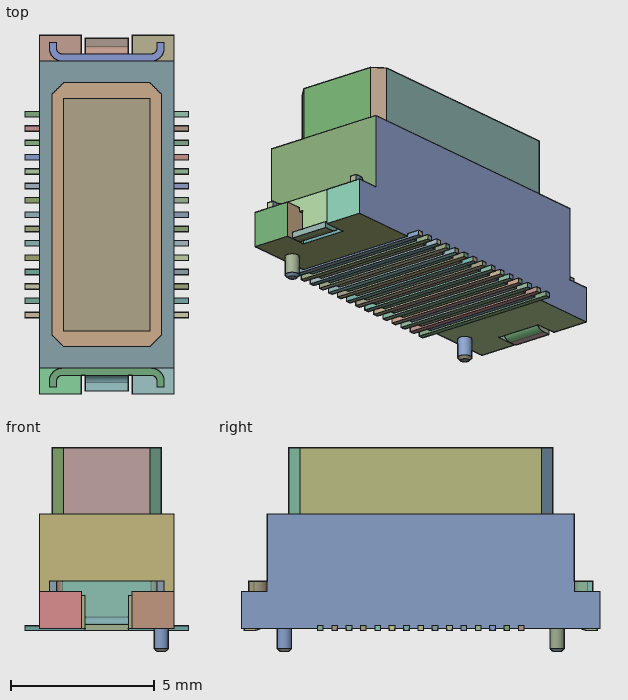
import cadquery as cq
import math

body_width = 4.7
body_length = 10.7
body_height = 4.0
flange_length = 12.5
flange_height = 1.3

shroud_width = 3.8
shroud_length = 9.2
shroud_height = 2.3
shroud_bevel = 0.4
pocket_width = 3.0
pocket_length = 8.1
pocket_depth = 2.5

lead_count = 15
lead_pitch = 0.5
lead_width = 0.2
lead_thickness = 0.18
lead_span = 5.7
standoff = 0.08

pin_diameter = 0.5
pin_length = 0.8
pin_tip_height = 0.1
pin_tip_inset = 0.1
pin_x = 1.9
pin_y = 4.75

notch_width = 1.78
clip_face_y = 5.6
clip_span = 4.0
clip_bottom = 1.15
clip_top = 1.65
arm_end_y = 6.0
arm_thickness = 0.25
arm_inner_radius = 0.2
foot_width = 1.5
foot_end_y = 6.15
foot_inner_radius = 0.25
foot_thickness = 0.22
notch_wall_y = clip_face_y - foot_thickness


def block(width, length, height, bottom=0.0):
    """Box centred on X and Y, standing on the given level."""
    return (
        cq.Workplane("XY")
        .workplane(offset=bottom)
        .box(width, length, height, centered=(True, True, False))
    )


def make_housing():
    flange = block(body_width, flange_length, flange_height)
    notch_depth = flange_length / 2 - notch_wall_y
    for side in (-1, 1):
        notch_y = side * (notch_wall_y + notch_depth / 2)
        notch = block(notch_width, notch_depth, flange_height)
        flange = flange.cut(notch.translate((0, notch_y, 0)))
    shroud = block(shroud_width, shroud_length, shroud_height, body_height)
    shroud = shroud.edges("|Z").chamfer(shroud_bevel)
    pocket_floor = body_height + shroud_height - pocket_depth
    pocket = block(pocket_width, pocket_length, pocket_depth, pocket_floor)
    body = block(body_width, body_length, body_height)
    return flange.union(body).union(shroud).cut(pocket)


def make_leads():
    lead = block(lead_span, lead_width, lead_thickness, -standoff)
    first_y = -lead_pitch * (lead_count - 1) / 2
    leads = lead.translate((0, first_y, 0))
    for index in range(1, lead_count):
        leads = leads.union(lead.translate((0, first_y + index * lead_pitch, 0)))
    return leads


def make_pin(y):
    radius = pin_diameter / 2
    tip_radius = radius - pin_tip_inset
    profile = (
        cq.Workplane("XZ")
        .lineTo(radius, 0)
        .lineTo(radius, pin_tip_height - pin_length)
        .lineTo(tip_radius, -pin_length)
        .lineTo(0, -pin_length)
        .close()
    )
    return profile.revolve(360, (0, 0, 0), (0, 1, 0)).translate((pin_x, y, 0))


def make_clip_bar():
    """Bar across the +Y end whose arms curve outward, towards +Y."""
    outer_x = clip_span / 2
    inner_x = outer_x - arm_thickness
    back_y = clip_face_y - arm_thickness
    outer_radius = arm_inner_radius + arm_thickness
    bend_x = outer_x - outer_radius
    bend_y = clip_face_y + arm_inner_radius
    diagonal = math.sqrt(0.5)
    outer_mid_x = bend_x + outer_radius * diagonal
    outer_mid_y = bend_y - outer_radius * diagonal
    inner_mid_x = bend_x + arm_inner_radius * diagonal
    inner_mid_y = bend_y - arm_inner_radius * diagonal
    return (
        cq.Workplane("XY")
        .workplane(offset=clip_bottom)
        .moveTo(-bend_x, back_y)
        .lineTo(bend_x, back_y)
        .threePointArc((outer_mid_x, outer_mid_y), (outer_x, bend_y))
        .lineTo(outer_x, arm_end_y)
        .lineTo(inner_x, arm_end_y)
        .lineTo(inner_x, bend_y)
        .threePointArc((inner_mid_x, inner_mid_y), (bend_x, clip_face_y))
        .lineTo(-bend_x, clip_face_y)
        .threePointArc((-inner_mid_x, inner_mid_y), (-inner_x, bend_y))
        .lineTo(-inner_x, arm_end_y)
        .lineTo(-outer_x, arm_end_y)
        .lineTo(-outer_x, bend_y)
        .threePointArc((-outer_mid_x, outer_mid_y), (-bend_x, back_y))
        .close()
        .extrude(clip_top - clip_bottom)
    )


def make_clip_foot():
    """Upright strip below the bar that bends outward into a flat solder foot."""
    foot_top = foot_thickness - standoff
    outer_radius = foot_inner_radius + foot_thickness
    bend_y = clip_face_y + foot_inner_radius
    bend_z = foot_top + foot_inner_radius
    diagonal = math.sqrt(0.5)
    inner_mid = (bend_y - foot_inner_radius * diagonal, bend_z - foot_inner_radius * diagonal)
    outer_mid = (bend_y - outer_radius * diagonal, bend_z - outer_radius * diagonal)
    return (
        cq.Workplane("YZ")
        .moveTo(notch_wall_y, clip_bottom)
        .lineTo(clip_face_y, clip_bottom)
        .lineTo(clip_face_y, bend_z)
        .threePointArc(inner_mid, (bend_y, foot_top))
        .lineTo(foot_end_y, foot_top)
        .lineTo(foot_end_y, -standoff)
        .lineTo(bend_y, -standoff)
        .threePointArc(outer_mid, (notch_wall_y, bend_z))
        .close()
        .extrude(foot_width / 2, both=True)
    )


clip = make_clip_bar().union(make_clip_foot())
result = make_housing().union(make_leads())
for pin_side in (-1, 1):
    result = result.union(make_pin(pin_side * pin_y))
result = result.union(clip).union(clip.mirror("XZ"))